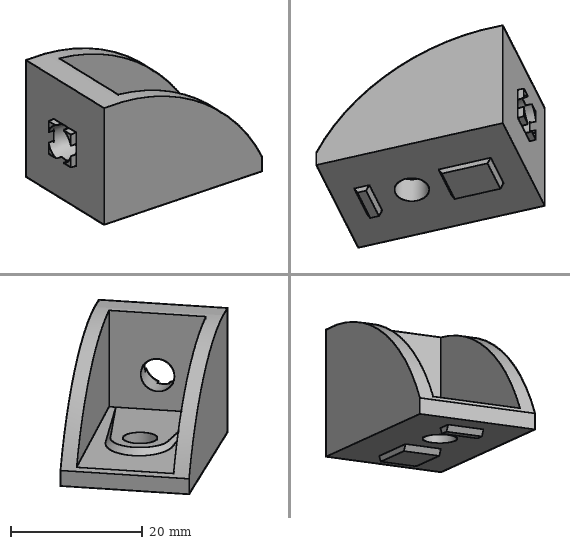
import cadquery as cq
import math

width = 20.0
height = 20.0
depth = 30.0
arc_radius = 31.3
top_flat = 3.55
back_height = 2.5

pocket_width = 15.07
front_wall = 4.5
floor_back_y = 29.6
floor_back_z = 3.1
floor_angle = 3.0

seat_y = 18.0
seat_radius = 4.53
seat_front_half_width = 6.48
seat_draft = 45.0
base_hole_diameter = 5.27

nub_height = 1.0
nub_width = 5.67
nub_base_height = 5.77
nub_tip_height = 5.6
nub_slot = 1.77
nub_hole_radius = 2.98
inner_hole_radius = 2.6

key_width = 6.15
key_height = 1.0
key_end_inset = 0.53
key_spans = [(4.28, 12.68), (23.8, 26.25)]

floor_slope = math.tan(math.radians(floor_angle))
seat_z = floor_back_z + (floor_back_y - front_wall) * floor_slope


def side_prism(sketch, thickness):
    """Extrude a YZ outline equally to both sides of the centre plane."""
    return sketch.close().extrude(thickness / 2, both=True)


def make_body():
    outline = (
        cq.Workplane("YZ")
        .lineTo(0, height)
        .lineTo(top_flat, height)
        .radiusArc((depth, back_height), arc_radius)
        .lineTo(depth, 0)
    )
    return side_prism(outline, width)


def make_pocket():
    """Clear the space above the sloping floor, out through the curved back."""
    floor_end_z = seat_z - (depth - front_wall) * floor_slope
    outline = (
        cq.Workplane("YZ")
        .moveTo(front_wall, seat_z)
        .lineTo(front_wall, height)
        .lineTo(depth, height)
        .lineTo(depth, floor_end_z)
    )
    return side_prism(outline, pocket_width)


def make_pocket_envelope():
    """Full-height block bounded by the pocket walls."""
    length = depth - front_wall
    block = cq.Workplane("XY").box(pocket_width, length, height, centered=(True, False, False))
    return block.translate((0, front_wall, 0))


def make_seat():
    """Extrude the seat outline down with draft, keeping what lies in the pocket."""
    offset_y = front_wall - seat_y
    distance = math.hypot(seat_front_half_width, offset_y)
    tangent_angle = math.atan2(offset_y, seat_front_half_width) + math.acos(seat_radius / distance)
    tangent_x = seat_radius * math.cos(tangent_angle)
    tangent_y = seat_y + seat_radius * math.sin(tangent_angle)
    solid = (
        cq.Workplane("XY", origin=(0, 0, seat_z))
        .moveTo(-seat_front_half_width, front_wall)
        .lineTo(seat_front_half_width, front_wall)
        .lineTo(tangent_x, tangent_y)
        .threePointArc((0, seat_y + seat_radius), (-tangent_x, tangent_y))
        .close()
        .extrude(-seat_z, taper=-seat_draft)
    )
    return solid.intersect(make_pocket_envelope())


def make_nub():
    """Square nub with drafted top and bottom, split into four corners by a cross slot."""
    half_base = nub_base_height / 2
    half_tip = nub_tip_height / 2
    outline = (
        cq.Workplane("YZ", origin=(0, 0, height / 2))
        .moveTo(0, -half_base)
        .lineTo(0, half_base)
        .lineTo(-nub_height, half_tip)
        .lineTo(-nub_height, -half_tip)
    )
    nub = side_prism(outline, nub_width)
    slot_plane = cq.Workplane("XZ", origin=(0, 0, height / 2))
    for slot_width, slot_height in [(nub_slot, nub_base_height), (nub_width, nub_slot)]:
        nub = nub.cut(slot_plane.rect(slot_width, slot_height).extrude(nub_height))
    return nub


def make_front_hole():
    """Cone from the nub tip, narrowing to the inner face of the front wall."""
    length = nub_height + front_wall
    start = cq.Vector(0, -nub_height, height / 2)
    return cq.Solid.makeCone(nub_hole_radius, inner_hole_radius, length, start, cq.Vector(0, 1, 0))


def make_key(front, back):
    outline = (
        cq.Workplane("YZ")
        .moveTo(front, 0)
        .lineTo(back, 0)
        .lineTo(back - key_end_inset, -key_height)
        .lineTo(front + key_end_inset, -key_height)
    )
    return side_prism(outline, key_width)


base_hole = cq.Workplane("XY").center(0, seat_y).circle(base_hole_diameter / 2).extrude(height)

result = make_body().cut(make_pocket()).union(make_seat()).union(make_nub())
for key_front, key_back in key_spans:
    result = result.union(make_key(key_front, key_back))
result = result.cut(base_hole).cut(cq.Workplane(make_front_hole()))